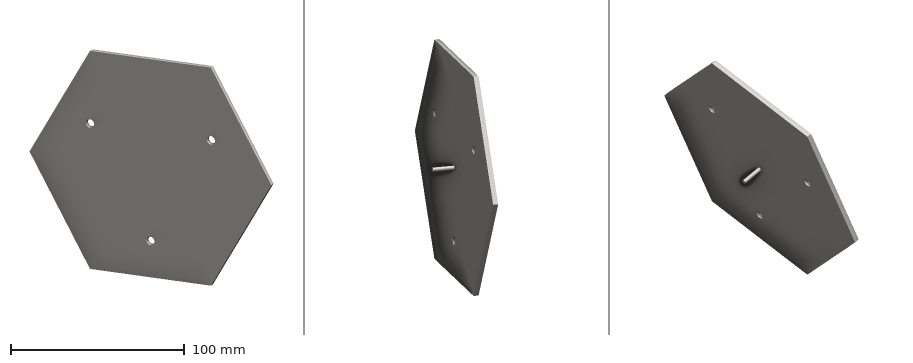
import cadquery as cq
import math

corner_width = 152.4
plate_thickness = 3.0

hole_diameter = 5.0
hole_count = 3
hole_circle_radius = corner_width / (2 * math.sqrt(3))
first_hole_angle = -90.0

overall_depth = 16.0
pin_diameter = 2.5
pin_length = overall_depth - plate_thickness

plate = cq.Workplane("XZ").polygon(6, corner_width).extrude(plate_thickness)

holes = (
    cq.Workplane("XZ")
    .polarArray(hole_circle_radius, first_hole_angle, 360, hole_count)
    .circle(hole_diameter / 2)
    .extrude(plate_thickness)
)

pin = cq.Workplane("XZ").circle(pin_diameter / 2).extrude(-pin_length)

result = plate.cut(holes).union(pin)